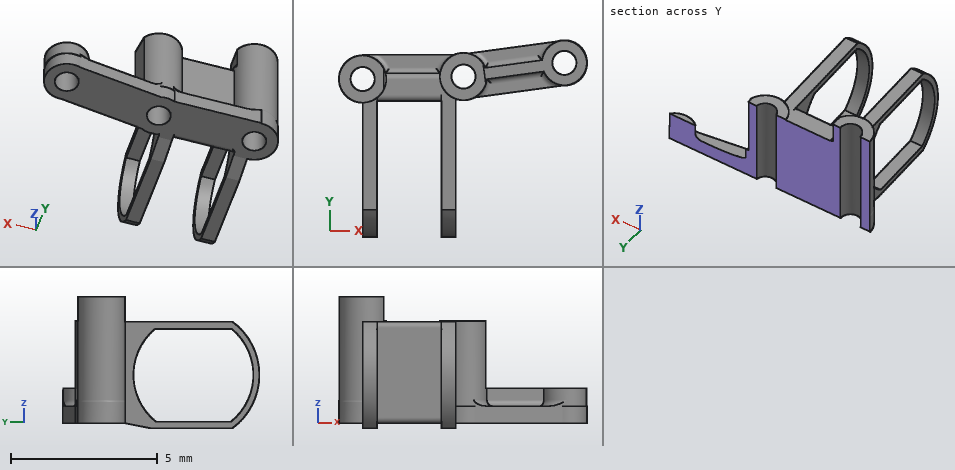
import cadquery as cq
import math

LENGTH = 8.45

SLAB_BOTTOM = 0.17
SLAB_TOP = 0.76
FILLET = 0.2

BORE_RADIUS = 0.405
POST_SLAB_RADIUS = 0.81
POST_RADIUS = 0.8
END_SLAB_RADIUS = 0.78
END_RADIUS = 0.76
TALL_TOP = 4.48
MIDDLE_TOP = 3.66
END_TOP = 1.37
FLAT_OFFSET = 0.72

LINK_BACK = 0.83
ARM_HALF_WIDTH = 0.76

TALL_CENTER = (POST_SLAB_RADIUS, 0.0)
MIDDLE_CENTER = (4.24, 0.085)
END_CENTER = (LENGTH - END_SLAB_RADIUS, 0.55)

RIB_HALF_WIDTH = 0.195
WEB_FRONT = -0.75
WEB_BACK = RIB_HALF_WIDTH

PLATE_TOP = 3.63
PLATE_THICKNESS = 0.49
PLATE_STARTS = (TALL_CENTER[0], 3.49)
PLATE_BACK = -0.51
PLATE_TIP = -5.37
PLATE_SLOPE_END = -1.665
PLATE_SLOPE_START = -POST_SLAB_RADIUS
RING_CENTER_Y = -3.13
RING_CENTER_Z = PLATE_TOP / 2
WINDOW_RADIUS = 2.04
WINDOW_BOTTOM = 0.23
WINDOW_TOP = 3.38

ARM_DX = END_CENTER[0] - MIDDLE_CENTER[0]
ARM_DY = END_CENTER[1] - MIDDLE_CENTER[1]
ARM_LENGTH = math.hypot(ARM_DX, ARM_DY)
ARM_ANGLE = math.degrees(math.atan2(ARM_DY, ARM_DX))


def block(x0, x1, y0, y1, z0, z1):
    return cq.Workplane("XY").box(x1 - x0, y1 - y0, z1 - z0, centered=False).translate((x0, y0, z0))


def post(center, radius, bottom, top):
    return cq.Workplane("XY", origin=(*center, bottom)).circle(radius).extrude(top - bottom)


def along_arm(shape):
    """Move a shape built along +X from the origin onto the end arm."""
    return shape.rotate((0, 0, 0), (0, 0, 1), ARM_ANGLE).translate((*MIDDLE_CENTER, 0))


def fillet_profile(plane, wall):
    """Concave quarter-round corner between the slab top and a wall on its outer side."""
    bend = FILLET * (1 - math.sqrt(0.5))
    return (
        cq.Workplane(plane)
        .moveTo(wall, SLAB_TOP)
        .lineTo(wall + FILLET, SLAB_TOP)
        .threePointArc((wall + bend, SLAB_TOP + bend), (wall, SLAB_TOP + FILLET))
        .close()
    )


def post_fillet(center, radius):
    return fillet_profile("XZ", radius).revolve(360, (0, 0, 0), (0, 1, 0)).translate((*center, 0))


def wall_fillet(length, wall):
    return fillet_profile("YZ", wall).extrude(length)


def arms(top):
    """Straight stretches between the bosses, with the rounded foot of the tall post."""
    link = block(TALL_CENTER[0], MIDDLE_CENTER[0], 0, LINK_BACK, SLAB_BOTTOM, top)
    end_arm = block(0, ARM_LENGTH, -ARM_HALF_WIDTH, ARM_HALF_WIDTH, SLAB_BOTTOM, top)
    return link.union(post(TALL_CENTER, POST_SLAB_RADIUS, SLAB_BOTTOM, top)).union(along_arm(end_arm))


def slab():
    middle_foot = post(MIDDLE_CENTER, POST_SLAB_RADIUS, SLAB_BOTTOM, SLAB_TOP)
    end_foot = post(END_CENTER, END_SLAB_RADIUS, SLAB_BOTTOM, SLAB_TOP)
    return arms(SLAB_TOP).union(middle_foot).union(end_foot)


def slab_fillets():
    """Fillets around the bosses and along the web and rib, trimmed to the outline of the arms."""
    rib_fillet = wall_fillet(ARM_LENGTH, RIB_HALF_WIDTH)
    fillets = (
        post_fillet(TALL_CENTER, POST_RADIUS)
        .union(post_fillet(MIDDLE_CENTER, POST_RADIUS))
        .union(post_fillet(END_CENTER, END_RADIUS))
        .union(wall_fillet(MIDDLE_CENTER[0] - TALL_CENTER[0], WEB_BACK).translate((TALL_CENTER[0], 0, 0)))
        .union(along_arm(rib_fillet))
        .union(along_arm(rib_fillet.mirror("XZ")))
    )
    return fillets.intersect(arms(SLAB_TOP + FILLET))


def flatted_post(center, top, flat_bottom, angle):
    """Post with a flat facing its arm, above the top of that arm."""
    cutter = block(
        FLAT_OFFSET, 2 * POST_RADIUS, -POST_RADIUS, POST_RADIUS, flat_bottom, top
    ).rotate((0, 0, 0), (0, 0, 1), angle)
    return post(center, POST_RADIUS, SLAB_BOTTOM, top).cut(cutter.translate((*center, 0)))


def web():
    web_end = PLATE_STARTS[-1] + PLATE_THICKNESS
    wall = block(TALL_CENTER[0], web_end, WEB_FRONT, WEB_BACK, SLAB_BOTTOM, PLATE_TOP)
    return wall.edges("|X and (>Z or <Y)").fillet(FILLET)


def ring_plate(start_x):
    half_height = PLATE_TOP / 2
    tip_reach = RING_CENTER_Y - PLATE_TIP
    arc_start = RING_CENTER_Y - math.sqrt(tip_reach**2 - half_height**2)
    outline = (
        cq.Workplane("YZ", origin=(start_x, 0, 0))
        .moveTo(PLATE_BACK, PLATE_TOP)
        .lineTo(arc_start, PLATE_TOP)
        .threePointArc((PLATE_TIP, RING_CENTER_Z), (arc_start, 0))
        .lineTo(PLATE_SLOPE_END, 0)
        .lineTo(PLATE_SLOPE_START, SLAB_BOTTOM)
        .lineTo(PLATE_BACK, SLAB_BOTTOM)
        .close()
        .extrude(PLATE_THICKNESS)
    )
    window = (
        cq.Workplane("YZ", origin=(start_x, RING_CENTER_Y, RING_CENTER_Z))
        .circle(WINDOW_RADIUS)
        .extrude(PLATE_THICKNESS)
        .intersect(
            block(
                start_x, start_x + PLATE_THICKNESS,
                RING_CENTER_Y - WINDOW_RADIUS, RING_CENTER_Y + WINDOW_RADIUS,
                WINDOW_BOTTOM, WINDOW_TOP,
            )
        )
    )
    return outline.cut(window)


rib = block(0, ARM_LENGTH, -RIB_HALF_WIDTH, RIB_HALF_WIDTH, SLAB_BOTTOM, END_TOP)

result = (
    slab()
    .union(slab_fillets())
    .union(flatted_post(TALL_CENTER, TALL_TOP, MIDDLE_TOP, 0))
    .union(flatted_post(MIDDLE_CENTER, MIDDLE_TOP, END_TOP, ARM_ANGLE))
    .union(post(END_CENTER, END_RADIUS, SLAB_BOTTOM, END_TOP))
    .union(along_arm(rib))
    .union(web())
)
for plate_start in PLATE_STARTS:
    result = result.union(ring_plate(plate_start))
for bore_center in (TALL_CENTER, MIDDLE_CENTER, END_CENTER):
    result = result.cut(post(bore_center, BORE_RADIUS, 0, TALL_TOP))